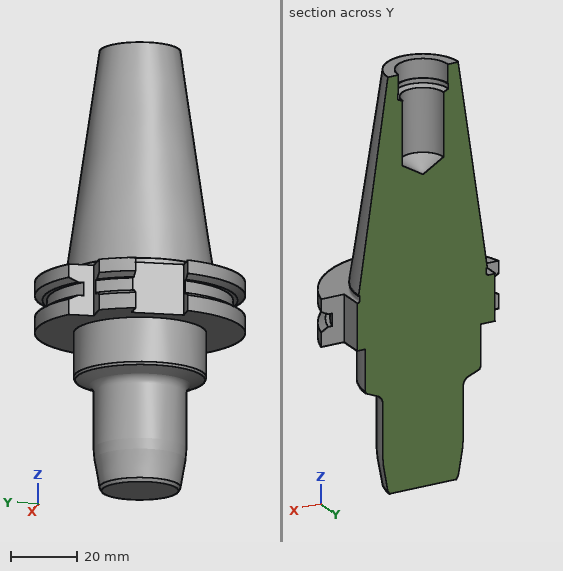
import cadquery as cq
import math

total_height = 136.2
taper_length = 68.4
flange_thickness = 15.7
flange_gap = 3.3
gauge_z = total_height - taper_length
flange_top = gauge_z - flange_gap
flange_bottom = flange_top - flange_thickness

gauge_radius = 44.4 / 2
taper_slope = 7 / 24 / 2
taper_overrun = 0.7
taper_land = 0.4
taper_bottom = gauge_z - taper_overrun
land_bottom = taper_bottom - taper_land
taper_large_radius = gauge_radius + taper_overrun * taper_slope
taper_small_radius = gauge_radius - taper_length * taper_slope
relief_radius = 44.0 / 2
relief_fillet = 0.7

flange_radius = 63.5 / 2
groove_floor_radius = 28.0
groove_floor_width = 4.1
groove_center_z = 57.1
groove_shelf_radius = 29.4
groove_side_height = (flange_radius - groove_shelf_radius) * math.tan(math.radians(30))
groove_top = groove_center_z + groove_floor_width / 2
groove_bottom = groove_center_z - groove_floor_width / 2

slot_width = 16.1
left_slot_floor = 25.0
right_slot_floor = 22.8
notch_edge = 18.3

collar_radius = 40.0 / 2
collar_bottom = 34.3
collar_edge_height = 0.8
collar_edge_inset = 0.4
shoulder_radius = 15.4
shoulder_bottom = 32.5
nose_radius = 28.0 / 2
nose_top = 30.1
blend_top = 13.0
blend_bottom = 9.7
blend_bottom_radius = 13.8
tip_radius = 12.3
tip_edge = 1.1
tip_face_radius = 11.6

bore_radius = 17.0 / 2
bore_depth = 6.4
undercut_radius = 17.5 / 2
undercut_height = 1.6
core_radius = 14.0 / 2
core_lead_depth = 0.8
core_depth = 30.0
drill_point_height = core_radius / math.tan(math.radians(59))


def make_body():
    """Revolve the outer profile about the Z axis."""
    arc_45 = 1 - math.sqrt(0.5)
    relief_mid = (relief_radius + relief_fillet * arc_45, flange_top + relief_fillet * arc_45)
    profile = (
        cq.Workplane("XZ")
        .lineTo(tip_face_radius, 0)
        .lineTo(tip_radius, tip_edge)
        .lineTo(blend_bottom_radius, blend_bottom)
        .lineTo(nose_radius, blend_top)
        .lineTo(nose_radius, nose_top)
        .tangentArcPoint((shoulder_radius, shoulder_bottom), relative=False)
        .lineTo(collar_radius - collar_edge_inset, collar_bottom)
        .lineTo(collar_radius, collar_bottom + collar_edge_height)
        .lineTo(collar_radius, flange_bottom)
        .lineTo(flange_radius, flange_bottom)
        .lineTo(flange_radius, groove_bottom - groove_side_height)
        .lineTo(groove_shelf_radius, groove_bottom)
        .lineTo(groove_floor_radius, groove_bottom)
        .lineTo(groove_floor_radius, groove_top)
        .lineTo(groove_shelf_radius, groove_top)
        .lineTo(flange_radius, groove_top + groove_side_height)
        .lineTo(flange_radius, flange_top)
        .lineTo(relief_radius + relief_fillet, flange_top)
        .threePointArc(relief_mid, (relief_radius, flange_top + relief_fillet))
        .lineTo(relief_radius, land_bottom)
        .lineTo(taper_large_radius, land_bottom)
        .lineTo(taper_large_radius, taper_bottom)
        .lineTo(taper_small_radius, total_height)
        .lineTo(0, total_height)
        .close()
    )
    return profile.revolve(360, (0, 0), (0, 1))


def flange_cutter(x_min, x_max, y_min, y_max):
    """Block spanning the flange thickness."""
    return (
        cq.Workplane("XY", origin=(0, 0, flange_bottom))
        .moveTo((x_min + x_max) / 2, (y_min + y_max) / 2)
        .rect(x_max - x_min, y_max - y_min)
        .extrude(flange_thickness)
    )


def make_bore():
    """Blind bore with an undercut, a narrower core hole and a drill point."""
    undercut_top = total_height - bore_depth
    undercut_bottom = undercut_top - undercut_height
    core_bottom = total_height - core_depth
    return (
        cq.Workplane("XZ")
        .moveTo(0, total_height)
        .lineTo(bore_radius, total_height)
        .lineTo(bore_radius, undercut_top)
        .lineTo(undercut_radius, undercut_top)
        .lineTo(undercut_radius, undercut_bottom)
        .lineTo(core_radius, undercut_bottom - core_lead_depth)
        .lineTo(core_radius, core_bottom)
        .lineTo(0, core_bottom - drill_point_height)
        .close()
        .revolve(360, (0, 0), (0, 1))
    )


half_slot = slot_width / 2
left_slot = flange_cutter(-flange_radius, -left_slot_floor, -half_slot, half_slot)
right_slot = flange_cutter(right_slot_floor, flange_radius, -half_slot, half_slot)
notch = flange_cutter(-flange_radius, -notch_edge, notch_edge, flange_radius)

result = make_body().cut(left_slot).cut(right_slot).cut(notch).cut(make_bore())